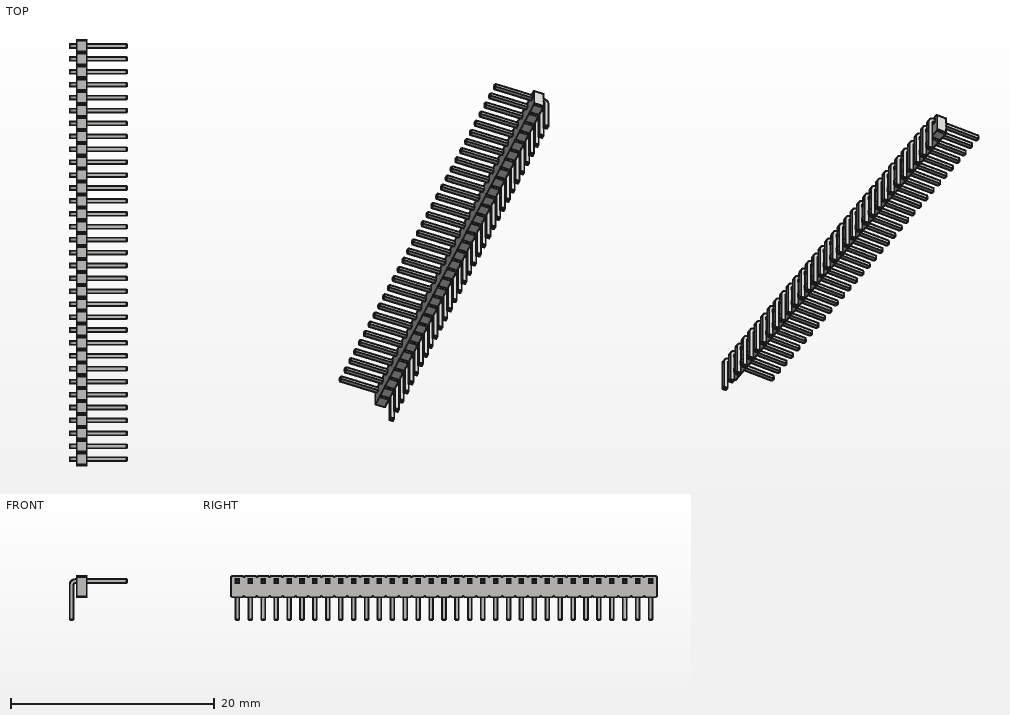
import cadquery as cq

PIN_COUNT = 33
PITCH = 1.27

OVERALL_DEPTH = 5.7
OVERALL_HEIGHT = 4.35

HOUSING_DEPTH = 1.0
HOUSING_HEIGHT = 2.1
HOUSING_CHAMFER = 0.127

PIN_WIDTH = 0.4
BEND_INNER_RADIUS = 0.2
TIP_LENGTH = 0.1
TIP_INSET = 0.1
HOUSING_GAP = 0.3
PIN_DROP = 0.5

TAIL_BACK = -PIN_WIDTH / 2
CONTACT_END = TAIL_BACK + OVERALL_DEPTH
HOUSING_BACK = PIN_WIDTH / 2 + HOUSING_GAP
CONTACT_AXIS_Z = HOUSING_HEIGHT - PIN_DROP
CONTACT_TOP = CONTACT_AXIS_Z + PIN_WIDTH / 2
TAIL_END = HOUSING_HEIGHT - OVERALL_HEIGHT
BEND_OUTER_RADIUS = BEND_INNER_RADIUS + PIN_WIDTH
BEND_X = TAIL_BACK + BEND_OUTER_RADIUS
BEND_Z = CONTACT_TOP - BEND_OUTER_RADIUS
TIP_WIDTH = PIN_WIDTH - 2 * TIP_INSET
FIRST_PIN_Y = -(PIN_COUNT - 1) / 2 * PITCH


def housing_segment(y):
    """One pitch of the housing, with its four edges along X chamfered."""
    return (
        cq.Workplane("XY")
        .box(HOUSING_DEPTH, PITCH, HOUSING_HEIGHT, centered=(False, True, False))
        .edges("|X")
        .chamfer(HOUSING_CHAMFER)
        .translate((HOUSING_BACK, y, 0))
    )


def tapered_tip(base_plane):
    """Four-sided tapered tip, narrowing along the normal of the base plane."""
    return (
        cq.Workplane(base_plane)
        .rect(PIN_WIDTH, PIN_WIDTH)
        .workplane(offset=TIP_LENGTH)
        .rect(TIP_WIDTH, TIP_WIDTH)
        .loft(ruled=True)
    )


def bent_pin():
    """Square pin at Y = 0: a tail pointing down, a bend and a contact along +X."""
    tail = cq.Workplane("XY", origin=(0, 0, TAIL_END + TIP_LENGTH)).box(
        PIN_WIDTH, PIN_WIDTH, BEND_Z - TAIL_END - TIP_LENGTH, centered=(True, True, False)
    )
    contact = cq.Workplane("XY", origin=(BEND_X, 0, CONTACT_AXIS_Z)).box(
        CONTACT_END - TIP_LENGTH - BEND_X, PIN_WIDTH, PIN_WIDTH, centered=(False, True, True)
    )
    bend = (
        cq.Workplane("XY", origin=(0, 0, BEND_Z))
        .rect(PIN_WIDTH, PIN_WIDTH)
        .revolve(90, (BEND_X, 0, 0), (BEND_X, 1, 0))
    )
    tail_tip = tapered_tip(cq.Plane((0, 0, TAIL_END + TIP_LENGTH), (1, 0, 0), (0, 0, -1)))
    contact_tip = tapered_tip(
        cq.Plane((CONTACT_END - TIP_LENGTH, 0, CONTACT_AXIS_Z), (0, 1, 0), (1, 0, 0))
    )
    return tail.union(bend).union(contact).union(tail_tip).union(contact_tip)


def pin_header():
    """Housing segments side by side, each with a pin through it."""
    pin = bent_pin()
    solids = []
    for index in range(PIN_COUNT):
        y = FIRST_PIN_Y + index * PITCH
        segment = housing_segment(y).union(pin.translate((0, y, 0)))
        solids.append(segment.val())
    return cq.Workplane(solids[0].fuse(*solids[1:]))


result = cq.Workplane(pin_header().clean().solids().val())